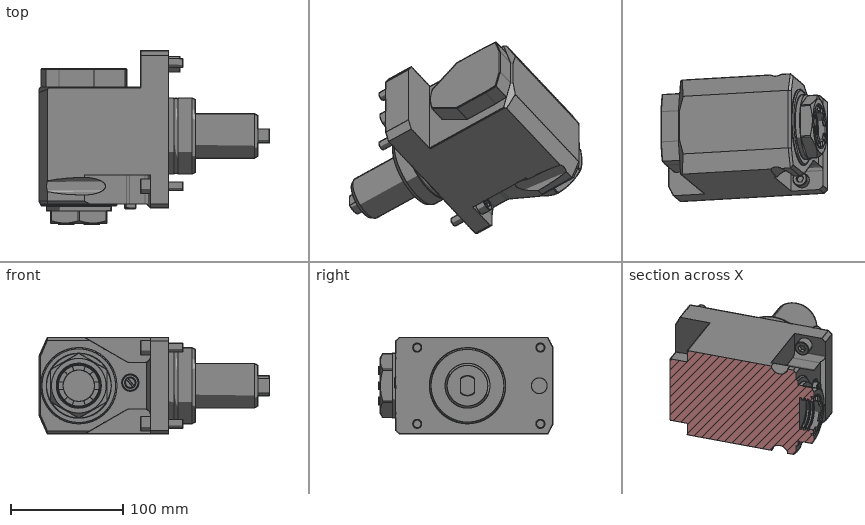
import cadquery as cq
import math


HALF_HEIGHT = 43.0
BODY_LEFT = -115.5
BODY_FRONT = -60.7
BODY_BACK = 43.6
LEFT_BEVEL_X = -108.0
LEFT_FACE_HALF = 26.3
FRONT_BEVEL = 2.6
FRONT_BEVEL_LEFT = 1.4
BACK_BEVEL_DEPTH = 6.0
BACK_EDGE_CHAMFER = 0.7

COVER_BACK = 60.0
COVER_LEFT = -113.8
COVER_LEFT_HALF = 13.8
COVER_CORNER = (-109.3, 30.5)
COVER_TOP_LEFT_X = -97.7
COVER_TOP_RIGHT_X = -66.4
COVER_HALF_HEIGHT = 31.4
COVER_ARC_R = 43.0
COVER_ARC_HALF = 13.0
COVER_CHAMFER = 0.7

PLATE_BACK = 76.0
PLATE_FRONT = -64.0
BACK_LUG_LEFT = -25.0
FRONT_LUG_LEFT = -16.2
LUG_BACK_CORNER_Y = 4.4
LUG_BACK_CORNER_Z = 8.5
LUG_FRONT_CORNER_Y = 3.4
LUG_FRONT_CORNER_Z = 3.2

NECK_HALF = 20.8
NECK_START_X = -36.3
NECK_SLOPE = 30.0
POCKET_FLOOR_Y = -34.6
NECK_FILLET = 5.0
NECK_BLEND = 5.0
POCKET_OVERSHOOT = 1.0

SPINDLE_X = -80.0
RING_D = 68.0
RING_END = -62.5
RING_CHAMFER = 1.2
RING_OVERLAP = 1.0
NUT_FLANGE_D = 58.0
NUT_FLANGE_START = -62.9
NUT_FLANGE_END = -66.8
NUT_AF = 50.0
NUT_CORNER_D = 57.0
NUT_FACE_D = 48.7
NUT_END = -78.0
NUT_MOUTH_D = 40.2
NUT_BORE_D = 38.38
NUT_BORE_DEPTH = 3.0
COLLET_D = 36.5
COLLET_BORE_D = 27.9
COLLET_FACE = -77.2
COLLET_END = -79.1
COLLET_BORE_DEPTH = 15.0
COLLET_GROOVE_D = 31.5
COLLET_GROOVE_COUNT = 3
COLLET_GROOVE_PITCH = 3.5
COLLET_GROOVE_WIDTH = 1.5
SIDE_KEY_WIDTH = 7.0
TAB_INNER_ANGLE = 18.5
TAB_OUTER_ANGLE = 45.0

FLANGE_D = 68.0
FLANGE_LENGTH = 24.0
FLANGE_CHAMFER_LENGTH = 3.2
FLANGE_CHAMFER_DEPTH = 1.6
GROOVE_D = 65.6
GROOVE_START = 4.7
GROOVE_END = 8.6
SEAL_D = 67.4
SEAL_OVERLAP = 1.0
SHANK_D = 40.0
SHANK_END = 79.6
SHANK_CHAMFER_LENGTH = 3.2
SHANK_CHAMFER_DEPTH = 1.9
TANG_D = 18.0
TANG_WIDTH = 12.5
TANG_END = 90.0
TANG_CHAMFER = 0.4

SCREW_Z = 34.0
FRONT_SCREW_Y = -44.8
BACK_SCREW_Y = 65.0
SCREW_D = 8.0
SCREW_END = 13.0
SCREW_CHAMFER = 0.6
HEAD_D = 13.0
HEAD_LEFT = -25.0
HEAD_CHAMFER = 0.5
SOCKET_AF = 6.0
SOCKET_DEPTH = 4.0
PIN_D = 14.0
PIN_Y = 64.0
PIN_END = 10.0

SCALLOP_R = 8.0
SCALLOP_TILT = 10.0
SCALLOP_REF_X = -56.7
SCALLOP_REF_Z = 40.5
SCALLOP_END_X = -30.0

PLUG_X = -34.1
PLUG_Z = 2.7
PLUG_RECESS_D = 13.7
PLUG_RECESS_MOUTH_D = 15.4
PLUG_RECESS_DEPTH = 2.0
PLUG_D = 10.0
PLUG_TIP_D = 8.4
PLUG_END = -65.0
PLUG_SLOT_WIDTH = 1.6
PLUG_SLOT_DEPTH = 1.2
PLUG_SLOT_ANGLE = -50.0


def along_spindle(y, x=0.0, z=0.0):
    """Workplane at height y facing -Y; local axes are X and Z."""
    return cq.Workplane("XZ", origin=(x, y, z))


def disc(x, z, diameter, y_start, y_end):
    """Cylinder along -Y from y_start down to y_end."""
    return along_spindle(y_start, x, z).circle(diameter / 2).extrude(y_start - y_end)


def rod(diameter, x_start, x_end, y=0.0, z=0.0):
    """Cylinder along +X."""
    plane = cq.Workplane("YZ", origin=(x_start, y, z))
    return plane.circle(diameter / 2).extrude(x_end - x_start)


def block(x0, x1, y0, y1, z0, z1):
    return cq.Workplane("XY").box(x1 - x0, y1 - y0, z1 - z0, centered=False).translate((x0, y0, z0))


def countersunk_bore(x, z, bore_d, mouth_d, depth, y_face):
    """Bore of the given depth behind y_face, opening to mouth_d with a 45 degree lead-in."""
    bore_r = bore_d / 2
    mouth_r = mouth_d / 2
    profile = (
        cq.Workplane("XY", origin=(x, y_face, z))
        .polyline([
            (0, 0),
            (mouth_r, 0),
            (bore_r, mouth_r - bore_r),
            (bore_r, depth),
            (0, depth),
        ])
        .close()
    )
    return profile.revolve(360, (0, 0, 0), (0, 1, 0))


def mirrored(solid):
    """The solid together with its mirror image below the XY plane."""
    return solid.union(solid.mirror("XY"))


def housing_outline(plane, left_inset=0.0, height_inset=0.0):
    left = BODY_LEFT + left_inset
    bevel_x = LEFT_BEVEL_X
    top = HALF_HEIGHT - height_inset
    return plane.polyline([
        (0, -top),
        (0, top),
        (bevel_x, top),
        (left, LEFT_FACE_HALF),
        (left, -LEFT_FACE_HALF),
        (bevel_x, -top),
    ]).close()


def rear_cover():
    arc_x = SPINDLE_X + math.sqrt(COVER_ARC_R**2 - COVER_ARC_HALF**2)
    corner_x, corner_z = COVER_CORNER
    cover = (
        along_spindle(COVER_BACK)
        .moveTo(COVER_LEFT, -COVER_LEFT_HALF)
        .lineTo(COVER_LEFT, COVER_LEFT_HALF)
        .lineTo(corner_x, corner_z)
        .lineTo(COVER_TOP_LEFT_X, COVER_HALF_HEIGHT)
        .lineTo(COVER_TOP_RIGHT_X, COVER_HALF_HEIGHT)
        .lineTo(arc_x, COVER_ARC_HALF)
        .threePointArc((SPINDLE_X + COVER_ARC_R, 0), (arc_x, -COVER_ARC_HALF))
        .lineTo(COVER_TOP_RIGHT_X, -COVER_HALF_HEIGHT)
        .lineTo(COVER_TOP_LEFT_X, -COVER_HALF_HEIGHT)
        .lineTo(corner_x, -corner_z)
        .close()
        .extrude(COVER_BACK - BODY_BACK)
    )
    return cover.faces(">Y").chamfer(COVER_CHAMFER)


def back_bevel_cutter():
    """Material outside a 45 degree tapered block that continues the cover's left faces."""
    corner_x, corner_z = COVER_CORNER
    run = (corner_x - COVER_LEFT) / (corner_z - COVER_LEFT_HALF)
    top = HALF_HEIGHT - BACK_EDGE_CHAMFER
    top_x = COVER_LEFT + run * (top - COVER_LEFT_HALF)
    kept = (
        along_spindle(BODY_BACK)
        .polyline([
            (BACK_BEVEL_DEPTH, -top),
            (BACK_BEVEL_DEPTH, top),
            (top_x, top),
            (COVER_LEFT, COVER_LEFT_HALF),
            (COVER_LEFT, -COVER_LEFT_HALF),
            (top_x, -top),
        ])
        .close()
        .extrude(BACK_BEVEL_DEPTH, taper=-45)
    )
    slab = block(
        BODY_LEFT, BACK_LUG_LEFT, BODY_BACK - BACK_BEVEL_DEPTH, BODY_BACK,
        -HALF_HEIGHT, HALF_HEIGHT,
    )
    return slab.cut(kept)


def housing():
    straight_end = BODY_FRONT + FRONT_BEVEL
    straight = housing_outline(along_spindle(BODY_BACK)).extrude(BODY_BACK - straight_end)
    back_outline = housing_outline(along_spindle(straight_end))
    front_plane = back_outline.workplane(offset=FRONT_BEVEL)
    beveled = housing_outline(front_plane, FRONT_BEVEL_LEFT, FRONT_BEVEL).loft(ruled=True)
    return straight.cut(back_bevel_cutter()).union(beveled)


def plate():
    back_lug = block(BACK_LUG_LEFT, 0, 0, PLATE_BACK, -HALF_HEIGHT, HALF_HEIGHT)
    back_lug = back_lug.faces(">Y").edges("|X").chamfer(LUG_BACK_CORNER_Z, LUG_BACK_CORNER_Y)
    front_lug = block(FRONT_LUG_LEFT, 0, PLATE_FRONT, 0, -HALF_HEIGHT, HALF_HEIGHT)
    front_lug = front_lug.faces("<Y").edges("|X").chamfer(LUG_FRONT_CORNER_Z, LUG_FRONT_CORNER_Y)
    return back_lug.union(front_lug)


def neck_pocket():
    """Space above the sloping neck, from the pocket floor out to the front."""
    clear_z = HALF_HEIGHT + POCKET_OVERSHOOT
    clear_x = NECK_START_X - (clear_z - NECK_HALF) / math.tan(math.radians(NECK_SLOPE))
    pocket = (
        along_spindle(POCKET_FLOOR_Y)
        .polyline([
            (clear_x, clear_z),
            (NECK_START_X, NECK_HALF),
            (FRONT_LUG_LEFT, NECK_HALF),
            (FRONT_LUG_LEFT, clear_z),
        ])
        .close()
        .extrude(POCKET_FLOOR_Y - PLATE_FRONT)
    )
    pocket = pocket.edges("|Y").edges("<Z").edges(">X").fillet(NECK_FILLET)
    middle_y = (POCKET_FLOOR_Y + PLATE_FRONT) / 2
    bend = cq.selectors.NearestToPointSelector((NECK_START_X, middle_y, NECK_HALF))
    return mirrored(pocket.edges("|Y").edges(bend).fillet(NECK_BLEND))


def neck_gusset():
    """45 degree gusset between the neck front and the plate front."""
    rise = BODY_FRONT - PLATE_FRONT
    width = HALF_HEIGHT - LUG_FRONT_CORNER_Z
    return (
        cq.Workplane("XY", origin=(0, 0, -width))
        .polyline([
            (FRONT_LUG_LEFT - rise, BODY_FRONT),
            (FRONT_LUG_LEFT, PLATE_FRONT),
            (FRONT_LUG_LEFT, BODY_FRONT),
        ])
        .close()
        .extrude(2 * width)
    )


def scallop():
    slope = math.radians(SCALLOP_TILT)
    run = SCALLOP_END_X - SCALLOP_REF_X
    end = cq.Vector(SCALLOP_END_X, FRONT_SCREW_Y, SCALLOP_REF_Z - run * math.tan(slope))
    direction = cq.Vector(-math.cos(slope), 0, math.sin(slope))
    length = SCALLOP_END_X - BODY_LEFT + SCALLOP_R
    return mirrored(cq.Workplane(cq.Solid.makeCylinder(SCALLOP_R, length, end, direction)))


def retaining_ring():
    ring = disc(SPINDLE_X, 0, RING_D, BODY_FRONT + RING_OVERLAP, RING_END)
    ring = ring.faces("<Y").chamfer(RING_CHAMFER)
    return ring.union(disc(SPINDLE_X, 0, NUT_CORNER_D, RING_END, NUT_FLANGE_START))


def collet_nut():
    flange = disc(SPINDLE_X, 0, NUT_FLANGE_D, NUT_FLANGE_START, NUT_FLANGE_END)
    corner_to_corner = NUT_AF / math.cos(math.radians(30))
    hexagon = (
        along_spindle(NUT_FLANGE_END, SPINDLE_X)
        .transformed(rotate=(0, 0, 30))
        .polygon(6, corner_to_corner)
        .extrude(NUT_FLANGE_END - NUT_END)
    )
    cone_drop = (NUT_CORNER_D - NUT_FACE_D) / 2 * math.tan(math.radians(30))
    envelope = disc(SPINDLE_X, 0, NUT_CORNER_D, NUT_FLANGE_END, NUT_END)
    envelope = envelope.faces("<Y").chamfer(cone_drop, (NUT_CORNER_D - NUT_FACE_D) / 2)
    nut = flange.union(hexagon.intersect(envelope))
    return nut.cut(
        countersunk_bore(SPINDLE_X, 0, NUT_BORE_D, NUT_MOUTH_D, NUT_BORE_DEPTH, NUT_END)
    )


def sector(start_angle, end_angle):
    """Wedge from the spindle axis, angles from local +X toward +Z, over the tab height."""
    reach = COLLET_D
    points = [(0, 0)]
    for angle in (start_angle, end_angle):
        turn = math.radians(angle)
        points.append((reach * math.cos(turn), reach * math.sin(turn)))
    plane = along_spindle(COLLET_FACE, SPINDLE_X)
    return plane.polyline(points).close().extrude(COLLET_FACE - COLLET_END)


def collet():
    root = NUT_END + NUT_BORE_DEPTH
    body = disc(SPINDLE_X, 0, COLLET_D, root, COLLET_FACE)
    tab_ring = disc(SPINDLE_X, 0, COLLET_D, COLLET_FACE, COLLET_END)
    tab_height = COLLET_FACE - COLLET_END
    tab_area = (
        along_spindle(COLLET_FACE, SPINDLE_X)
        .rect(NUT_BORE_D, SIDE_KEY_WIDTH)
        .extrude(tab_height)
    )
    for vertical in (90, 270):
        tab_area = tab_area.union(sector(vertical + TAB_INNER_ANGLE, vertical + TAB_OUTER_ANGLE))
        tab_area = tab_area.union(sector(vertical - TAB_OUTER_ANGLE, vertical - TAB_INNER_ANGLE))
    return body.union(tab_ring.intersect(tab_area))


def collet_bore():
    floor = COLLET_END + COLLET_BORE_DEPTH
    bore = disc(SPINDLE_X, 0, COLLET_BORE_D, floor, COLLET_END)
    for index in range(COLLET_GROOVE_COUNT):
        back = floor - index * COLLET_GROOVE_PITCH
        bore = bore.union(disc(SPINDLE_X, 0, COLLET_GROOVE_D, back, back - COLLET_GROOVE_WIDTH))
    return bore


def shank():
    flange_r = FLANGE_D / 2
    shank_r = SHANK_D / 2
    turned = (
        cq.Workplane("XY")
        .polyline([
            (0, 0),
            (0, flange_r),
            (GROOVE_START, flange_r),
            (GROOVE_START, GROOVE_D / 2),
            (GROOVE_END, GROOVE_D / 2),
            (GROOVE_END, flange_r),
            (FLANGE_LENGTH - FLANGE_CHAMFER_LENGTH, flange_r),
            (FLANGE_LENGTH, flange_r - FLANGE_CHAMFER_DEPTH),
            (FLANGE_LENGTH, shank_r),
            (SHANK_END - SHANK_CHAMFER_LENGTH, shank_r),
            (SHANK_END, shank_r - SHANK_CHAMFER_DEPTH),
            (SHANK_END, 0),
        ])
        .close()
        .revolve(360, (0, 0, 0), (1, 0, 0))
    )
    seal = (
        cq.Workplane("XY")
        .moveTo(GROOVE_START, GROOVE_D / 2 - SEAL_OVERLAP)
        .lineTo(GROOVE_START, GROOVE_D / 2)
        .threePointArc(((GROOVE_START + GROOVE_END) / 2, SEAL_D / 2), (GROOVE_END, GROOVE_D / 2))
        .lineTo(GROOVE_END, GROOVE_D / 2 - SEAL_OVERLAP)
        .close()
        .revolve(360, (0, 0, 0), (1, 0, 0))
    )
    tang = rod(TANG_D, SHANK_END, TANG_END).faces(">X").chamfer(TANG_CHAMFER)
    flats = block(SHANK_END, TANG_END, -TANG_WIDTH / 2, TANG_WIDTH / 2, -TANG_D, TANG_D)
    return turned.union(seal).union(tang.intersect(flats))


def screw_tip(y):
    return rod(SCREW_D, 0, SCREW_END, y, SCREW_Z).faces(">X").chamfer(SCREW_CHAMFER)


def screw_head():
    head = rod(HEAD_D, HEAD_LEFT, FRONT_LUG_LEFT, FRONT_SCREW_Y, SCREW_Z)
    head = head.faces("<X").chamfer(HEAD_CHAMFER)
    socket = (
        cq.Workplane("YZ", origin=(HEAD_LEFT, FRONT_SCREW_Y, SCREW_Z))
        .polygon(6, SOCKET_AF / math.cos(math.radians(30)))
        .extrude(SOCKET_DEPTH)
    )
    return head.cut(socket)


def fasteners():
    screws = screw_tip(FRONT_SCREW_Y).union(screw_tip(BACK_SCREW_Y)).union(screw_head())
    return mirrored(screws).union(rod(PIN_D, 0, PIN_END, PIN_Y))


def plug_recess():
    return countersunk_bore(
        PLUG_X, PLUG_Z, PLUG_RECESS_D, PLUG_RECESS_MOUTH_D, PLUG_RECESS_DEPTH, BODY_FRONT
    )


def plug():
    stud = disc(PLUG_X, PLUG_Z, PLUG_D, BODY_FRONT + PLUG_RECESS_DEPTH, PLUG_END)
    stud = stud.faces("<Y").chamfer((PLUG_D - PLUG_TIP_D) / 2)
    slot = (
        along_spindle(PLUG_END + PLUG_SLOT_DEPTH, PLUG_X, PLUG_Z)
        .transformed(rotate=(0, 0, PLUG_SLOT_ANGLE))
        .rect(PLUG_D, PLUG_SLOT_WIDTH)
        .extrude(PLUG_SLOT_DEPTH)
    )
    return stud.cut(slot)


body = housing().cut(neck_pocket()).union(neck_gusset().cut(neck_pocket()))
body = body.cut(scallop()).cut(plug_recess()).union(plate())
spindle = retaining_ring().union(collet_nut()).union(collet())
result = body.union(rear_cover()).union(spindle).cut(collet_bore())
result = result.union(plug()).union(shank()).union(fasteners())